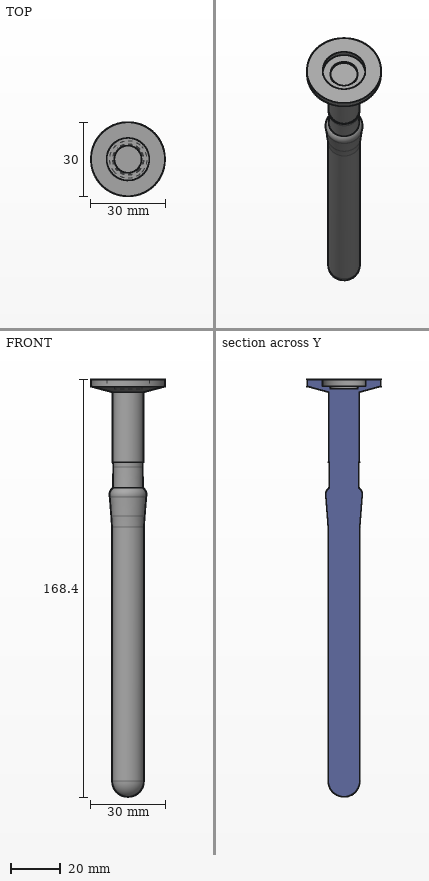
import cadquery as cq

total_length = 168.4
flange_diameter = 30.0

rim_thickness = 2.9
flange_height = 5.2

probe_diameter = 13.0
upper_diameter = 12.6
step_diameter = 12.1
neck_diameter = 12.0
neck_foot_diameter = 12.3
shoulder_diameter = 14.7
collar_diameter = 14.8
collar_foot_diameter = 13.6

upper_tube_end = 33.3
neck_start = 35.2
neck_end = 43.8
shoulder_middle = 45.3
collar_crest = 47.3
collar_foot = 54.9
probe_start = 59.5

recess_diameter = 17.2
recess_depth = 2.7
inner_recess_diameter = 11.0
inner_recess_depth = 1.0


def station(diameter, depth):
    """Profile point at a diameter and a depth below the flange face."""
    return diameter / 2, total_length - depth


def make_body():
    """Flange, necked stem with collar, and hemispherical probe tip, revolved about Z."""
    tip_radius = probe_diameter / 2
    tip_arc = tip_radius * 0.5 ** 0.5
    profile = (
        cq.Workplane("XZ")
        .threePointArc((tip_arc, tip_radius - tip_arc), (tip_radius, tip_radius))
        .lineTo(*station(probe_diameter, probe_start))
        .lineTo(*station(collar_foot_diameter, collar_foot))
        .lineTo(*station(collar_diameter, collar_crest))
        .threePointArc(
            station(shoulder_diameter, shoulder_middle),
            station(neck_foot_diameter, neck_end),
        )
        .lineTo(*station(neck_diameter, neck_start))
        .lineTo(*station(step_diameter, upper_tube_end))
        .lineTo(*station(upper_diameter, upper_tube_end))
        .lineTo(*station(upper_diameter, flange_height))
        .lineTo(*station(flange_diameter, rim_thickness))
        .lineTo(*station(flange_diameter, 0))
        .lineTo(0, total_length)
        .close()
    )
    return profile.revolve(360, (0, 0, 0), (0, 1, 0))


def make_recess(diameter, top_depth, depth):
    """Round recess on the axis that starts at a given depth below the flange face."""
    floor = total_length - top_depth - depth
    return cq.Workplane("XY").workplane(offset=floor).circle(diameter / 2).extrude(depth)


outer_recess = make_recess(recess_diameter, 0, recess_depth)
inner_recess = make_recess(inner_recess_diameter, recess_depth, inner_recess_depth)

result = make_body().cut(outer_recess).cut(inner_recess)